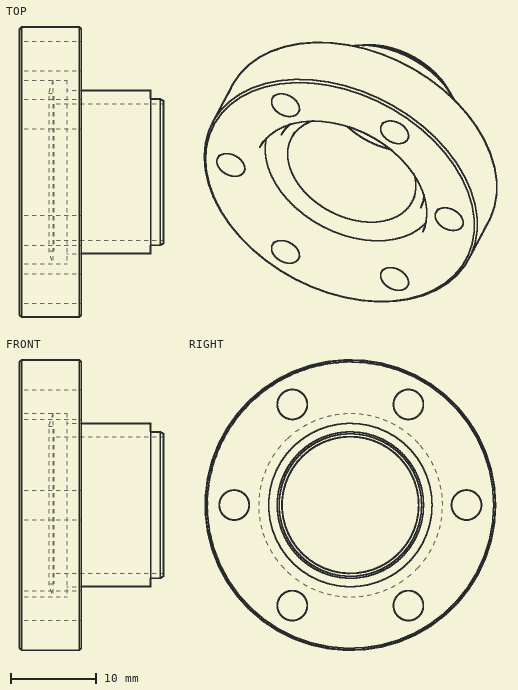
import cadquery as cq
import math


ring_diameter = 33.78
ring_thickness = 7.2
front_rim_chamfer = 0.27
back_rim_chamfer = 0.23
recess_diameter = 21.36
recess_mouth_fillet = 0.17
bolt_count = 6
bolt_circle_diameter = 27.0
bolt_hole_diameter = 3.45

recess_depth = 3.9
head_back_position = 5.5
sealing_slope_angle = math.radians(20)
sealing_edge_fillet = 0.13
throat_diameter = 18.3
throat_floor_position = 4.0
throat_floor_fillet = 0.13

tube_diameter = 19.0
tube_bore_diameter = 15.87
shoulder_position = 15.25
overall_length = 16.78
spigot_diameter = 17.03
spigot_root_fillet = 0.1
spigot_tip_chamfer_length = 0.4
spigot_tip_chamfer_height = 0.23

ring_radius = ring_diameter / 2
head_radius = recess_diameter / 2
throat_radius = throat_diameter / 2
tube_radius = tube_diameter / 2
bore_radius = tube_bore_diameter / 2
spigot_radius = spigot_diameter / 2

edge_centre_radius = throat_radius + sealing_edge_fillet
edge_outer_radius = edge_centre_radius + sealing_edge_fillet * math.sin(sealing_slope_angle)
edge_outer_position = recess_depth - (head_radius - edge_outer_radius) * math.tan(sealing_slope_angle)
edge_centre_position = edge_outer_position + sealing_edge_fillet * math.cos(sealing_slope_angle)


def revolve_about_x(profile):
    """Revolve a closed outline drawn in X and radius about the X axis."""
    return profile.close().revolve(360, (0, 0, 0), (1, 0, 0))


def make_bolt_ring():
    """Outer ring, bored to hold the insert head in front and the tube behind it."""
    profile = (
        cq.Workplane("XY")
        .moveTo(0, ring_radius - front_rim_chamfer)
        .lineTo(front_rim_chamfer, ring_radius)
        .lineTo(ring_thickness - back_rim_chamfer, ring_radius)
        .lineTo(ring_thickness, ring_radius - back_rim_chamfer)
        .lineTo(ring_thickness, tube_radius)
        .lineTo(head_back_position, tube_radius)
        .lineTo(head_back_position, head_radius)
        .lineTo(recess_mouth_fillet, head_radius)
        .tangentArcPoint((0, head_radius + recess_mouth_fillet), relative=False)
    )
    bolt_holes = (
        cq.Workplane("YZ")
        .polarArray(bolt_circle_diameter / 2, 0, 360, bolt_count)
        .circle(bolt_hole_diameter / 2)
        .extrude(ring_thickness)
    )
    return revolve_about_x(profile).cut(bolt_holes)


def make_insert():
    """Tube with a sealing head at the front and a reduced spigot at the free end."""
    profile = (
        cq.Workplane("XY")
        .moveTo(throat_floor_position, bore_radius)
        .lineTo(throat_floor_position, throat_radius - throat_floor_fillet)
        .tangentArcPoint((throat_floor_position - throat_floor_fillet, throat_radius), relative=False)
        .lineTo(edge_centre_position, throat_radius)
        .tangentArcPoint((edge_outer_position, edge_outer_radius), relative=False)
        .lineTo(recess_depth, head_radius)
        .lineTo(head_back_position, head_radius)
        .lineTo(head_back_position, tube_radius)
        .lineTo(shoulder_position, tube_radius)
        .lineTo(shoulder_position, spigot_radius + spigot_root_fillet)
        .tangentArcPoint((shoulder_position + spigot_root_fillet, spigot_radius), relative=False)
        .lineTo(overall_length - spigot_tip_chamfer_length, spigot_radius)
        .lineTo(overall_length, spigot_radius - spigot_tip_chamfer_height)
        .lineTo(overall_length, bore_radius)
    )
    return revolve_about_x(profile)


bolt_ring = make_bolt_ring()
insert = make_insert()
result = cq.Compound.makeCompound([bolt_ring.val(), insert.val()])